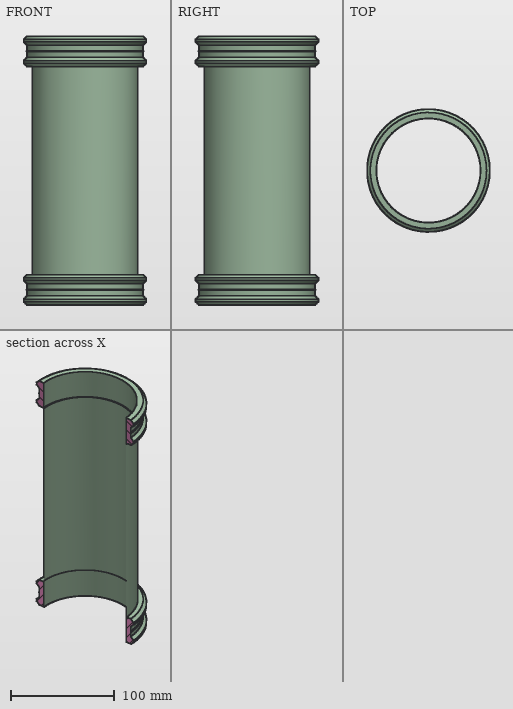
import cadquery as cq

bore_diameter = 100.0
tube_diameter = 101.8
tube_length = 200.0
web_diameter = 111.8
flange_diameter = 118.4
overall_length = 258.8
rim_width = 2.4
bead_height = 0.6

bore_radius = bore_diameter / 2
tube_radius = tube_diameter / 2
web_radius = web_diameter / 2
flange_radius = flange_diameter / 2
bead_radius = web_radius + bead_height
collar_length = (overall_length - tube_length) / 2
bevel = flange_radius - web_radius
flange_width = 2 * bevel + rim_width


def make_collar(bottom):
    """Ring with a bevelled flange at each end and a small pointed bead midway between them."""
    top = bottom + collar_length
    middle = bottom + collar_length / 2
    return (
        cq.Workplane("XZ")
        .moveTo(bore_radius, bottom)
        .lineTo(web_radius, bottom)
        .lineTo(flange_radius, bottom + bevel)
        .lineTo(flange_radius, bottom + bevel + rim_width)
        .lineTo(web_radius, bottom + flange_width)
        .lineTo(web_radius, middle - bead_height)
        .lineTo(bead_radius, middle)
        .lineTo(web_radius, middle + bead_height)
        .lineTo(web_radius, top - flange_width)
        .lineTo(flange_radius, top - bevel - rim_width)
        .lineTo(flange_radius, top - bevel)
        .lineTo(web_radius, top)
        .lineTo(bore_radius, top)
        .close()
        .revolve(360, (0, 0, 0), (0, 1, 0))
    )


def make_tube(bottom):
    """Plain thin-walled tube."""
    return (
        cq.Workplane("XY", origin=(0, 0, bottom))
        .circle(tube_radius)
        .circle(bore_radius)
        .extrude(tube_length)
    )


lower_collar_bottom = -overall_length / 2
tube_bottom = lower_collar_bottom + collar_length
flanged_tube = make_collar(lower_collar_bottom).union(make_tube(tube_bottom))

end_collar = make_collar(tube_bottom + tube_length)

result = cq.Compound.makeCompound([flanged_tube.val(), end_collar.val()])